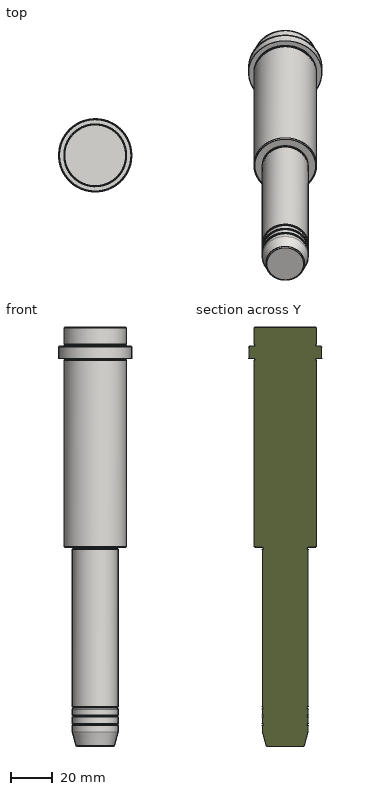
import cadquery as cq
import math

total_height = 200.0
shoulder_z = 95.0
collar_bottom_z = 185.0
collar_height = 6.0
collar_top_z = collar_bottom_z + collar_height

body_diameter = 30.0
collar_diameter = 35.0
shaft_diameter = 22.0

edge_chamfer = 0.5

groove_width = 1.0
groove_depth = groove_width / 2

lead_in_height = 7.0
lead_in_angle = 15.0

lubrication_groove_count = 3
lubrication_groove_pitch = 4.0


def cylinder(diameter, bottom_z, top_z):
    """Solid cylinder on the Z axis between two heights."""
    return cq.Workplane("XY").workplane(offset=bottom_z).circle(diameter / 2).extrude(top_z - bottom_z)


def revolve_profile(profile):
    """Full revolution about Z of a profile drawn in the XZ plane, closed here."""
    return profile.close().revolve(360, (0, 0), (0, 1))


def v_groove(diameter, bottom_z):
    """Ring with a V-shaped inner side that cuts a groove into a cylinder."""
    surface_radius = diameter / 2
    outer_radius = surface_radius + groove_depth
    top_z = bottom_z + groove_width
    return revolve_profile(
        cq.Workplane("XZ")
        .moveTo(surface_radius, bottom_z)
        .lineTo(surface_radius - groove_depth, bottom_z + groove_width / 2)
        .lineTo(surface_radius, top_z)
        .lineTo(outer_radius, top_z)
        .lineTo(outer_radius, bottom_z)
    )


def make_shaft():
    """Guide shaft with a chamfered conical tip, lubrication grooves and a shoulder groove."""
    shaft_radius = shaft_diameter / 2
    taper_height = lead_in_height - edge_chamfer
    tip_radius = shaft_radius - taper_height * math.tan(math.radians(lead_in_angle))
    shaft = revolve_profile(
        cq.Workplane("XZ")
        .lineTo(tip_radius - edge_chamfer, 0)
        .lineTo(tip_radius, edge_chamfer)
        .lineTo(shaft_radius, lead_in_height)
        .lineTo(shaft_radius, shoulder_z)
        .lineTo(0, shoulder_z)
    )
    for index in range(lubrication_groove_count):
        groove_top_z = lead_in_height + (index + 1) * lubrication_groove_pitch
        shaft = shaft.cut(v_groove(shaft_diameter, groove_top_z - groove_width))
    return shaft.cut(v_groove(shaft_diameter, shoulder_z - groove_width))


def make_body():
    """Thick upper body with chamfered ends and a groove on each side of the collar."""
    body = cylinder(body_diameter, shoulder_z, total_height)
    body = body.edges().chamfer(edge_chamfer)
    for groove_bottom_z in (collar_bottom_z - groove_width, collar_top_z):
        body = body.cut(v_groove(body_diameter, groove_bottom_z))
    return body


def make_collar():
    """Locating collar with its top outer edge chamfered."""
    collar = cylinder(collar_diameter, collar_bottom_z, collar_top_z)
    return collar.faces(">Z").edges().chamfer(edge_chamfer)


result = make_shaft().union(make_body()).union(make_collar())